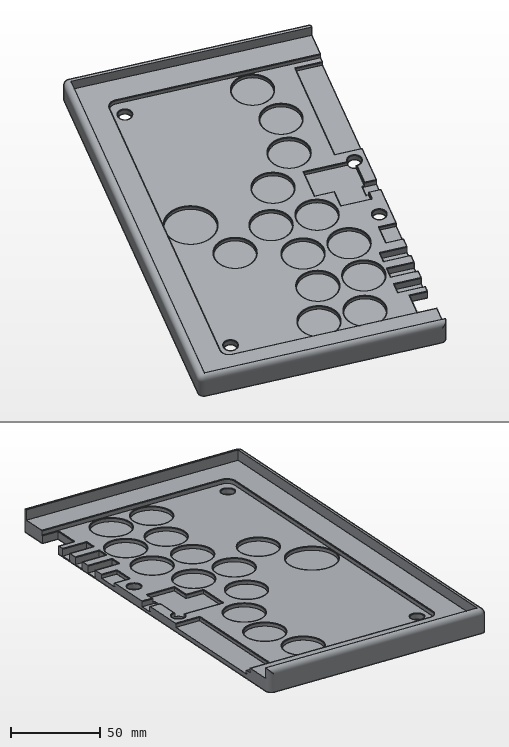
import cadquery as cq

LENGTH = 251.8
DEPTH = 145.4
HEIGHT = 14.4
EDGE_RADIUS = 3.6
WALL = 4.0
BACK = DEPTH / 2

LEDGE_Z = 8.0
FLOOR_Z = 5.2
POCKET_Z = 2.8
SLOT_Z = 0.6

BEVEL = 0.4
BEVEL_ANGLE = 45
OVERRUN = 5.0

RECESS_HALF_LENGTH = 106.0
RECESS_FRONT = -52.6
RECESS_RADIUS = 5.0

BUTTON_DIAMETER = 24.0
THUMB_DIAMETER = 30.0
BUTTON_PITCH = 27.0
RIGHT_COLUMN_X = 12.4
LOWER_ROW_Y = [5.6, 15.7, 15.7, 7.7]
LEFT_BUTTONS = [(-93.4, 28.7), (-66.5, 36.8), (-39.4, 32.8), (-15.6, 15.7)]
EXTRA_BUTTON = (27.3, -20.3)
THUMB_BUTTON = (-1.4, -37.2)

SCREW_DIAMETER = 8.0
SCREW_LOWER_BEVEL = 1.5
FRONT_SCREWS = (96.5, -45.2)
BACK_SCREWS = (22.6, 65.8)

BAY_LEFT = -102.4
BAY_RIGHT = -30.5
BAY_FRONT = 56.8
BOARD_LEFT = -22.3
BOARD_RIGHT = 9.4
BOARD_NECK_RIGHT = -2.5
BOARD_BACK = 65.5
BOARD_MIDDLE = 47.6
BOARD_FRONT = 36.0
PLUG_HALF_WIDTH = 3.8
PLUG_FRONT = 64.2
PLUG_Z = 1.8
JACK_LEFT = 32.4
JACK_RIGHT = 45.1
JACK_FRONT = 62.6
SLOT_CENTRE = 68.5
SLOT_PITCH = 13.0
SLOT_WIDTH = 6.8
SLOT_COUNT = 3
NOTCH_LEFT = 89.4
NOTCH_FRONT = 62.3


def rectangle(x_min, x_max, y_min, y_max):
    """Rectangular outline."""
    centre = cq.Location(cq.Vector((x_min + x_max) / 2, (y_min + y_max) / 2))
    return cq.Sketch().push([centre]).rect(x_max - x_min, y_max - y_min).reset()


def discs(centres, diameter):
    """Round outlines."""
    return cq.Sketch().push(centres).circle(diameter / 2).reset()


def opening(outline, floor, rim):
    """Cutter from floor up to rim, flared by the bevel at the rim."""
    straight = cq.Workplane("XY").workplane(offset=floor).placeSketch(outline).extrude(rim - floor)
    flare_plane = cq.Workplane("XY").workplane(offset=rim - BEVEL)
    return straight.union(flare_plane.placeSketch(outline).extrude(BEVEL, taper=-BEVEL_ANGLE))


def case():
    """Block with rounded upright corners and a rounded top edge on the front and both sides."""
    block = cq.Workplane("XY").box(LENGTH, DEPTH, HEIGHT, centered=(True, True, False))
    front_rounded = block.edges("|Z and <Y").fillet(EDGE_RADIUS)
    front_rounded = front_rounded.faces(">Z").edges("not >Y").fillet(EDGE_RADIUS)
    return front_rounded.intersect(block.edges("|Z and >Y").fillet(EDGE_RADIUS))


def interior():
    """Space between the walls, above the ledge."""
    inner = LENGTH / 2 - WALL
    outline = rectangle(-inner, inner, WALL - BACK, BACK + OVERRUN)
    return cq.Workplane("XY").workplane(offset=LEDGE_Z).placeSketch(outline).extrude(HEIGHT - LEDGE_Z)


def recess():
    """Round-cornered recess inside the ledge."""
    outline = rectangle(-RECESS_HALF_LENGTH, RECESS_HALF_LENGTH, RECESS_FRONT, BACK + OVERRUN)
    outline = outline.vertices("<Y").fillet(RECESS_RADIUS).reset()
    return opening(outline, FLOOR_Z, LEDGE_Z)


def buttons():
    """Round pockets for all the push buttons."""
    centres = LEFT_BUTTONS + [EXTRA_BUTTON]
    for column, y in enumerate(LOWER_ROW_Y):
        x = RIGHT_COLUMN_X + column * BUTTON_PITCH
        centres += [(x, y), (x, y + BUTTON_PITCH)]
    pockets = opening(discs(centres, BUTTON_DIAMETER), POCKET_Z, FLOOR_Z)
    return pockets.union(opening(discs([THUMB_BUTTON], THUMB_DIAMETER), POCKET_Z, FLOOR_Z))


def screw_holes():
    """Four through holes, with a wider bevel at the underside."""
    centres = [(side * x, y) for x, y in (FRONT_SCREWS, BACK_SCREWS) for side in (-1, 1)]
    mouths = discs(centres, SCREW_DIAMETER + 2 * SCREW_LOWER_BEVEL)
    lower_bevels = cq.Workplane("XY").placeSketch(mouths).extrude(SCREW_LOWER_BEVEL, taper=BEVEL_ANGLE)
    return opening(discs(centres, SCREW_DIAMETER), 0, FLOOR_Z).union(lower_bevels)


def board_pocket():
    """L-shaped circuit board pocket with its plug channel."""
    wide = rectangle(BOARD_LEFT, BOARD_RIGHT, BOARD_MIDDLE, BOARD_BACK)
    neck = rectangle(BOARD_LEFT, BOARD_NECK_RIGHT, BOARD_FRONT, BOARD_BACK)
    plug = rectangle(-PLUG_HALF_WIDTH, PLUG_HALF_WIDTH, PLUG_FRONT, BACK + OVERRUN)
    pocket = opening(wide, POCKET_Z, FLOOR_Z).union(opening(neck, POCKET_Z, FLOOR_Z))
    return pocket.union(opening(plug, PLUG_Z, FLOOR_Z))


def back_opening(x_min, x_max, front, floor):
    """Cutter for a rectangular pocket that runs out through the back edge."""
    return opening(rectangle(x_min, x_max, front, BACK + OVERRUN), floor, FLOOR_Z)


def back_pockets():
    """Pockets open through the back edge, and the notch that goes through the floor."""
    pockets = back_opening(BAY_LEFT, BAY_RIGHT, BAY_FRONT, POCKET_Z)
    pockets = pockets.union(back_opening(JACK_LEFT, JACK_RIGHT, JACK_FRONT, POCKET_Z))
    for index in range(SLOT_COUNT):
        left = SLOT_CENTRE + (index - (SLOT_COUNT - 1) / 2) * SLOT_PITCH - SLOT_WIDTH / 2
        pockets = pockets.union(back_opening(left, left + SLOT_WIDTH, BAY_FRONT, SLOT_Z))
    return pockets.union(back_opening(NOTCH_LEFT, RECESS_HALF_LENGTH - BEVEL, NOTCH_FRONT, 0))


result = case()
for cutter in (interior(), recess(), buttons(), screw_holes(), board_pocket(), back_pockets()):
    result = result.cut(cutter)